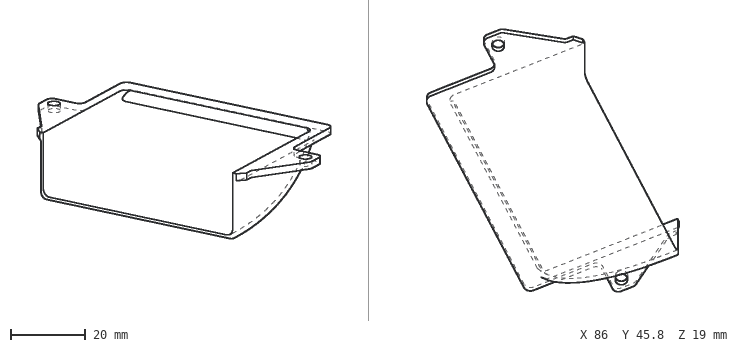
import cadquery as cq
import math

ear_span = 86.0
plate_depth = 45.75
plate_thickness = 2.0
plate_half_width = 33.0
plate_corner_radius = 2.0
front_chamfer = 2.0

ear_back = 24.3
ear_tip_front = 18.5
ear_root_front = 4.2
ear_corner_radius = 1.7
ear_root_radius = 2.0
ear_bend_radius = 1.7
hole_diameter = 3.35
hole_inset = 3.35

total_height = 19.0
wall = 1.0
cavity_half_width = 29.8
floor_flat = 2.0
scoop_back = 41.6
back_slope = math.radians(66.4)
floor_handle = 10.75
back_handle = 18.4
scoop_corner_radius = 2.0
rim_round = 0.5
under_plate_fillet = 0.95

lip_back = 40.6
lip_front = 39.05
lip_depth = 1.8
lip_nose = (38.8, -2.4)
lip_root = (39.6, -2.9)

shell_half_width = cavity_half_width + wall


def scoop_section(left_x, inset):
    """Side profile of the scoop below z = 0, placed at left_x and moved inwards by the inset."""
    floor_z = inset - total_height
    handle_loss = inset * math.tan(back_slope / 2) / 2
    floor_reach = floor_handle - handle_loss
    back_reach = back_handle - handle_loss
    back_y = scoop_back - inset / math.sin(back_slope)
    return (
        cq.Workplane("YZ", origin=(left_x, 0, 0))
        .moveTo(0, 0)
        .lineTo(0, floor_z)
        .lineTo(floor_flat, floor_z)
        .bezier(
            [
                (floor_flat, floor_z),
                (floor_flat + floor_reach, floor_z),
                (back_y - back_reach * math.cos(back_slope), -back_reach * math.sin(back_slope)),
                (back_y, 0),
            ]
        )
        .close()
    )


def scoop_solid(half_width, inset):
    """Scoop-shaped solid with its curved bottom edges rounded."""
    solid = scoop_section(-half_width, inset).extrude(2 * half_width)
    bottom_edges = cq.selectors.BoxSelector(
        (-plate_half_width, rim_round, -2 * total_height),
        (plate_half_width, plate_depth, -rim_round),
    )
    return solid.faces("<X or >X").edges(bottom_edges).fillet(scoop_corner_radius)


def plate():
    """Flat plate with two ears, its top face at z = 0."""
    half_span = ear_span / 2
    right_side = [
        (plate_half_width, 0),
        (plate_half_width, ear_root_front),
        (half_span, ear_tip_front),
        (half_span, ear_back),
        (plate_half_width, ear_back),
        (plate_half_width, plate_depth),
    ]
    left_side = [(-x, y) for x, y in reversed(right_side)]
    body = (
        cq.Workplane("XY")
        .polyline(right_side + left_side)
        .close()
        .extrude(-plate_thickness)
    )
    corner_radii = [
        (plate_half_width, ear_root_front, ear_bend_radius),
        (half_span, ear_tip_front, ear_bend_radius),
        (half_span, ear_back, ear_corner_radius),
        (plate_half_width, ear_back, ear_root_radius),
        (plate_half_width, plate_depth, plate_corner_radius),
    ]
    for x, y, radius in corner_radii:
        for side in (-1, 1):
            corner = cq.selectors.NearestToPointSelector((side * x, y, -plate_thickness / 2))
            body = body.edges("|Z").edges(corner).fillet(radius)
    hole_x = half_span - hole_inset
    hole_y = ear_back - hole_inset
    holes = (
        cq.Workplane("XY")
        .pushPoints([(-hole_x, hole_y), (hole_x, hole_y)])
        .circle(hole_diameter / 2)
        .extrude(-plate_thickness)
    )
    return body.cut(holes)


def back_lip():
    """Sloped bar with a round nose that overhangs the back of the cavity."""
    return (
        cq.Workplane("YZ", origin=(-cavity_half_width, 0, 0))
        .moveTo(lip_back, 0)
        .lineTo(lip_front, -lip_depth)
        .threePointArc(lip_nose, lip_root)
        .lineTo(plate_depth, lip_root[1])
        .lineTo(plate_depth, 0)
        .close()
        .extrude(2 * cavity_half_width)
    )


def joined_plate_and_scoop():
    """Plate and solid scoop, with a fillet all along the joint between them."""
    body = plate().union(scoop_solid(shell_half_width, 0))
    joint_point = (shell_half_width, plate_depth / 2, -plate_thickness)
    side_joint = cq.selectors.NearestToPointSelector(joint_point)
    return body.edges("|Y").edges(side_joint).fillet(under_plate_fillet)


def front_corner_cuts():
    """Triangular prisms that bevel the two front corners of the plate."""
    cuts = cq.Workplane("XY")
    for side in (-1, 1):
        corner_x = side * plate_half_width
        cuts = cuts.union(
            cq.Workplane("XY")
            .moveTo(corner_x, 0)
            .lineTo(corner_x, front_chamfer)
            .lineTo(corner_x - side * front_chamfer, 0)
            .close()
            .extrude(-total_height)
        )
    return cuts


def round_front_rim(body):
    """Round the outer front edge of the scoop below the plate."""
    rim = cq.selectors.BoxSelector(
        (-plate_half_width, -rim_round, -2 * total_height),
        (plate_half_width, rim_round, -plate_thickness - under_plate_fillet),
    )
    return body.faces("<Y").edges(rim).fillet(rim_round)


body = joined_plate_and_scoop().cut(front_corner_cuts())
cavity = scoop_solid(cavity_half_width, wall).cut(back_lip())
result = round_front_rim(body).cut(cavity)